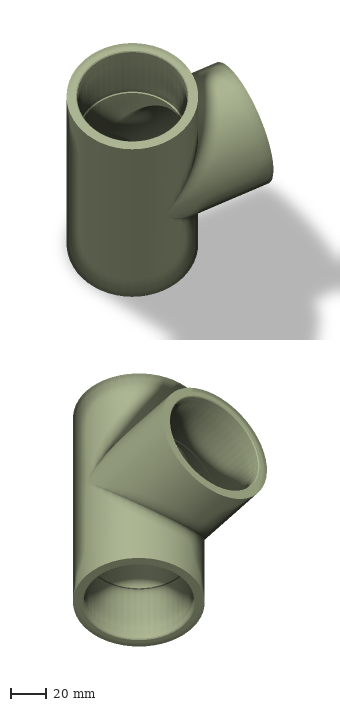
import cadquery as cq

outer_diameter = 75.0
run_length = 142.0
branch_reach = run_length / 2
bore_diameter = 61.0
socket_diameter = 63.0
socket_depth = 38.5
mouth_chamfer = 0.5

UP = cq.Vector(0, 0, 1)
DOWN = cq.Vector(0, 0, -1)
BACK = cq.Vector(0, 1, 0)


def arm(diameter, start, end, direction):
    """Cylinder along a direction, between two distances from the tee centre."""
    cylinder = cq.Solid.makeCylinder(diameter / 2, end - start, direction * start, direction)
    return cq.Workplane(obj=cylinder)


def tee(diameter):
    """Full-length run joined to a branch of the same diameter."""
    run = arm(diameter, -run_length / 2, run_length / 2, UP)
    return run.union(arm(diameter, 0, branch_reach, BACK))


def socket(direction):
    """Pipe socket space at one end, widened by a chamfer at its mouth."""
    straight = arm(socket_diameter, branch_reach - socket_depth, branch_reach, direction)
    flare = cq.Solid.makeCone(
        socket_diameter / 2,
        socket_diameter / 2 + mouth_chamfer,
        mouth_chamfer,
        direction * (branch_reach - mouth_chamfer),
        direction,
    )
    return straight.union(cq.Workplane(obj=flare))


result = tee(outer_diameter).cut(tee(bore_diameter))

for end_direction in (UP, DOWN, BACK):
    result = result.cut(socket(end_direction))